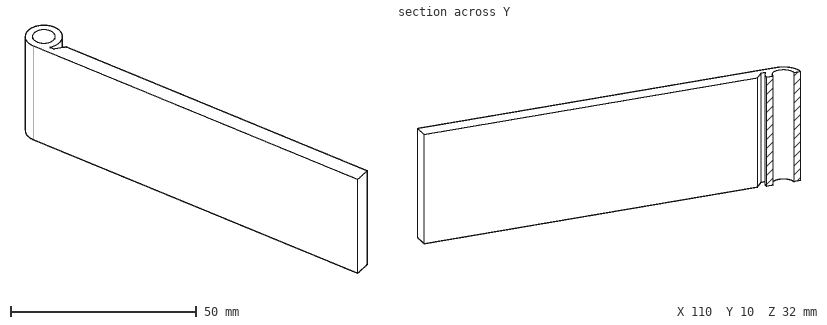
import cadquery as cq

length = 110.0
height = 32.0

knuckle_diameter = 10.0
bore_diameter = 6.0
knuckle_radius = knuckle_diameter / 2

leaf_thickness = 4.6
leaf_front = -knuckle_radius
leaf_back = leaf_front + leaf_thickness
leaf_end = length - knuckle_radius

relief_floor_height = 2.0
relief_floor_end = 5.3
slope_end = 7.5
relief_floor = leaf_front + relief_floor_height


def make_leaf():
    """Flat plate with a relief step where it meets the knuckle."""
    return (
        cq.Workplane("XY")
        .moveTo(0, leaf_front)
        .lineTo(leaf_end, leaf_front)
        .lineTo(leaf_end, leaf_back)
        .lineTo(slope_end, leaf_back)
        .lineTo(relief_floor_end, relief_floor)
        .lineTo(0, relief_floor)
        .close()
        .extrude(height)
    )


def make_knuckle():
    """Solid barrel of the hinge."""
    return cq.Workplane("XY").circle(knuckle_radius).extrude(height)


def make_bore():
    """Pin hole through the full height of the knuckle."""
    return cq.Workplane("XY").circle(bore_diameter / 2).extrude(height)


result = make_knuckle().union(make_leaf()).cut(make_bore())